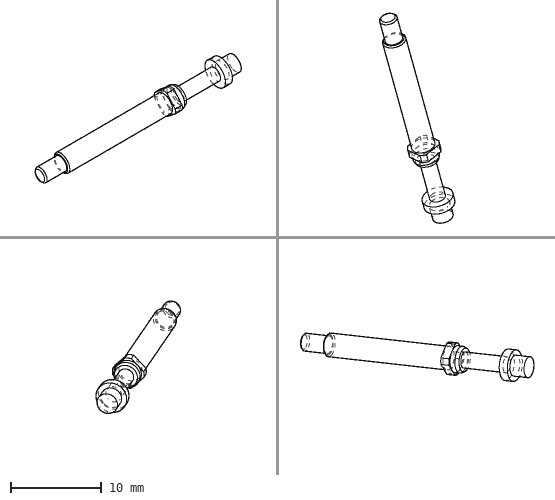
import cadquery as cq

overall_length = 28.1

tip_length = 3.03
barrel_length = 15.0
wrench_length = 1.0
collar_length = 0.6
collar_taper_length = 0.42
stem_length = 5.25
flange_length = 1.0

tip_diameter = 2.0
barrel_diameter = 2.65
wrench_corner_diameter = 3.6
collar_diameter = 3.0
stem_diameter = 1.8
flange_diameter = 3.5
head_diameter = 2.33

wrench_across_flats = collar_diameter
tip_chamfer = 0.2
barrel_chamfer = 0.17

tip_start = 0
barrel_start = tip_start + tip_length
wrench_start = barrel_start + barrel_length
collar_start = wrench_start + wrench_length
taper_start = collar_start + collar_length
stem_start = taper_start + collar_taper_length
flange_start = stem_start + stem_length
head_start = flange_start + flange_length
head_length = tip_start + overall_length - head_start


def section_plane(start):
    """Plane across the axis at y = start, facing the head."""
    return cq.Workplane("ZX", origin=(0, start, 0))


def cylinder(start, length, diameter):
    return section_plane(start).circle(diameter / 2).extrude(length)


def chamfered_cylinder(start, length, diameter, chamfer):
    """Cylinder with a chamfer around the end facing the tip."""
    return cylinder(start, length, diameter).faces("<Y").chamfer(chamfer)


def wrench_section():
    """Square with its corners on the X and Z axes, rounded to a common diameter."""
    square = (
        section_plane(wrench_start)
        .transformed(rotate=(0, 0, 45))
        .rect(wrench_across_flats, wrench_across_flats)
        .extrude(wrench_length)
    )
    return square.intersect(cylinder(wrench_start, wrench_length, wrench_corner_diameter))


def collar_taper():
    """Cone narrowing from the collar to the barrel diameter."""
    return (
        section_plane(taper_start)
        .circle(collar_diameter / 2)
        .workplane(offset=collar_taper_length)
        .circle(barrel_diameter / 2)
        .loft()
    )


barrel = (
    chamfered_cylinder(tip_start, tip_length, tip_diameter, tip_chamfer)
    .union(chamfered_cylinder(barrel_start, barrel_length, barrel_diameter, barrel_chamfer))
    .union(wrench_section())
    .union(cylinder(collar_start, collar_length, collar_diameter))
    .union(collar_taper())
)

plunger = (
    cylinder(stem_start, stem_length, stem_diameter)
    .union(cylinder(flange_start, flange_length, flange_diameter))
    .union(cylinder(head_start, head_length, head_diameter))
)

result = barrel.union(plunger)